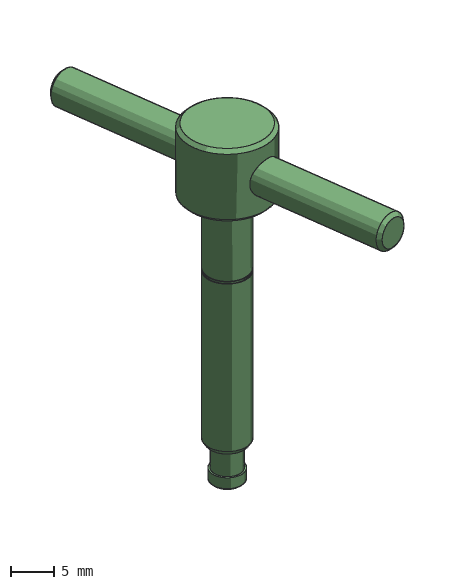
import cadquery as cq

total_length = 50.0

head_diameter = 12.0
head_height = 10.0
head_chamfer = 0.5

bar_length = 50.0
bar_diameter = 5.0
bar_chamfer = 0.5

shaft_radius = 3.0
shaft_end_z = -34.0
shaft_chamfer_height = 0.6
shaft_chamfer_width = 0.4
groove_top_z = -10.0
groove_width = 0.3
groove_depth = 0.1

neck_radius = 2.0
collar_radius = 2.25
collar_height = 1.5
dome_height = 1.0
tip_z = head_height - total_length
dome_start_z = tip_z + dome_height
collar_top_z = dome_start_z + collar_height


def make_head():
    return (
        cq.Workplane("XY")
        .circle(head_diameter / 2)
        .extrude(head_height)
        .edges()
        .chamfer(head_chamfer)
    )


def make_bar():
    return (
        cq.Workplane("YZ", origin=(-bar_length / 2, 0, head_height / 2))
        .circle(bar_diameter / 2)
        .extrude(bar_length)
        .faces("<X or >X")
        .chamfer(bar_chamfer)
    )


def make_shaft():
    """Revolve the half profile of the grooved shaft and its tip about Z."""
    shaft_top_z = head_height / 2
    groove_radius = shaft_radius - groove_depth
    groove_bottom_z = groove_top_z - groove_width

    dome_radius = (collar_radius**2 + dome_height**2) / (2 * dome_height)
    dome_center_z = tip_z + dome_radius
    dome_mid_x = collar_radius / 2
    dome_mid_z = dome_center_z - (dome_radius**2 - dome_mid_x**2) ** 0.5

    return (
        cq.Workplane("XZ")
        .moveTo(0, shaft_top_z)
        .lineTo(shaft_radius, shaft_top_z)
        .lineTo(shaft_radius, groove_top_z)
        .lineTo(groove_radius, groove_top_z)
        .lineTo(groove_radius, groove_bottom_z)
        .lineTo(shaft_radius, groove_bottom_z)
        .lineTo(shaft_radius, shaft_end_z + shaft_chamfer_height)
        .lineTo(shaft_radius - shaft_chamfer_width, shaft_end_z)
        .lineTo(neck_radius, shaft_end_z)
        .lineTo(neck_radius, collar_top_z)
        .lineTo(collar_radius, collar_top_z)
        .lineTo(collar_radius, dome_start_z)
        .threePointArc((dome_mid_x, dome_mid_z), (0, tip_z))
        .close()
        .revolve()
    )


result = make_head().union(make_bar()).union(make_shaft())